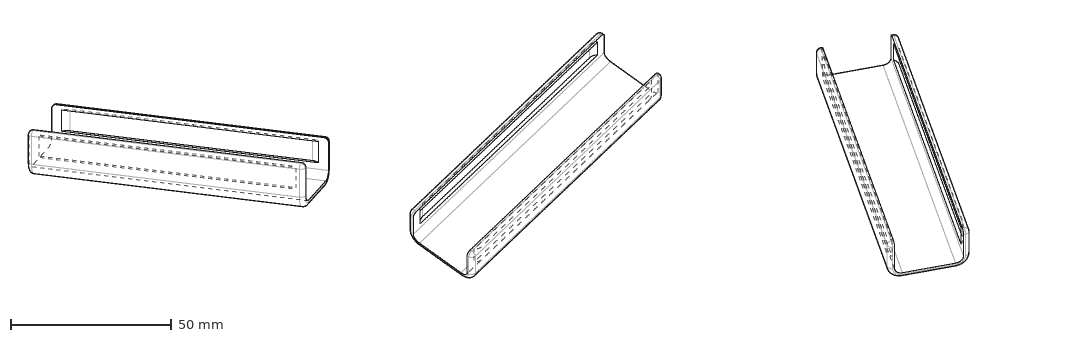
import cadquery as cq

length = 91.0
width = 26.4
height = 15.5
wall = 2.1
bend_outer_radius = 4.6
bend_inner_radius = bend_outer_radius - wall
edge_radius = 1.5

pocket_margin = 3.3
pocket_bottom = 6.8
pocket_height = 7.1
pocket_depth = 1.2
runout_length = 2.4
runout_radius = (runout_length**2 + pocket_depth**2) / (2 * pocket_depth)

inner_width = width - 2 * wall


def rounded_block():
    """Outer body with rounded lower bends and rounded outside edges."""
    block = cq.Workplane("XY").box(length, width, height, centered=(False, True, False))
    block = block.edges("|X and <Z").fillet(bend_outer_radius)
    end_edges = block.faces("<X or >X").edges()
    top_edges = block.faces(">Z").edges("|X")
    return block.newObject(end_edges.vals() + top_edges.vals()).fillet(edge_radius)


def channel_space():
    """Space between the side walls, with rounded lower corners."""
    space = cq.Workplane("XY").box(length, inner_width, height, centered=(False, True, False))
    return space.edges("|X and <Z").fillet(bend_inner_radius).translate((0, 0, wall))


def wall_pocket():
    """Pocket in the +Y wall; each run-out arc is tangent to the pocket floor."""
    opening_y = inner_width / 2
    floor_y = opening_y + pocket_depth
    start_x = pocket_margin
    end_x = length - pocket_margin
    floor_start_x = start_x + runout_length
    floor_end_x = end_x - runout_length
    return (
        cq.Workplane("XY")
        .workplane(offset=pocket_bottom)
        .moveTo(floor_start_x, floor_y)
        .lineTo(floor_end_x, floor_y)
        .tangentArcPoint((end_x, opening_y), relative=False)
        .lineTo(start_x, opening_y)
        .radiusArc((floor_start_x, floor_y), runout_radius)
        .close()
        .extrude(pocket_height)
    )


pocket = wall_pocket()
result = rounded_block().cut(channel_space()).cut(pocket).cut(pocket.mirror("XZ"))